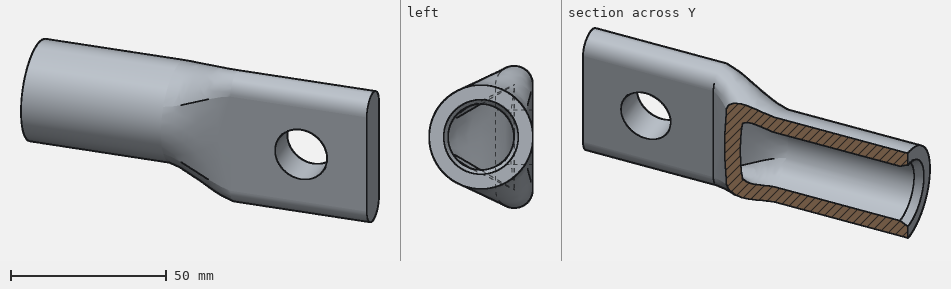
import cadquery as cq
import math

total_length = 117.5
barrel_length = 47.6
palm_start = 71.2
barrel_diameter = 33.4
bore_diameter = 21.1
bore_chamfer = 1.4
bore_chamfer_length = 2.8
palm_width = 45.7
palm_thickness = 12.1
bolt_hole_diameter = 17.6
bolt_hole_x = 95.2
seam_gap = 0.1
seam_half_angle = 30.0
end_slope = 0.5
blend_steps = 6

barrel_radius = barrel_diameter / 2
bore_radius = bore_diameter / 2
palm_center_y = palm_thickness / 2 - barrel_radius
flat_half_width = (palm_width - palm_thickness) / 2
transition_length = palm_start - barrel_length


def circle_points(radius):
    """Eight (y, z) points round a circle: arc ends alternating with arc middles."""
    angles = [-seam_half_angle, 0, seam_half_angle, 90]
    angles += [180 - seam_half_angle, 180, 180 + seam_half_angle, 270]
    return [
        (-radius * math.cos(math.radians(a)), radius * math.sin(math.radians(a)))
        for a in angles
    ]


def slot_points(thickness):
    """Matching (y, z) points round a full-round slot centred on the palm."""
    half = thickness / 2
    front = palm_center_y - half
    back = palm_center_y + half
    tip = flat_half_width + half
    return [
        (front, -flat_half_width),
        (front, 0),
        (front, flat_half_width),
        (palm_center_y, tip),
        (back, flat_half_width),
        (back, 0),
        (back, -flat_half_width),
        (palm_center_y, -tip),
    ]


def section_wire(x, points, flat_faces=False):
    """Close four edges through the points; the two palm faces can be straight."""
    vectors = [cq.Vector(x, y, z) for y, z in points]
    edges = []
    for i in range(0, len(vectors), 2):
        start = vectors[i]
        middle = vectors[i + 1]
        end = vectors[(i + 2) % len(vectors)]
        is_palm_face = i % 4 == 0
        if flat_faces and is_palm_face:
            edges.append(cq.Edge.makeLine(start, end))
        else:
            edges.append(cq.Edge.makeThreePointArc(start, middle, end))
    return cq.Wire.assembleEdges(edges)


def flattening(t):
    """Fraction flattened at fraction t of the transition, a gentle S-curve."""
    smooth = t * t * (3 - 2 * t)
    return end_slope * t + (1 - end_slope) * smooth


def flattened_tube(radius, thickness):
    """Solid that blends from a circle at the barrel to a slot at the palm."""
    round_end = circle_points(radius)
    flat_end = slot_points(thickness)
    wires = []
    for step in range(blend_steps + 1):
        t = step / blend_steps
        s = flattening(t)
        points = [
            (y0 + s * (y1 - y0), z0 + s * (z1 - z0))
            for (y0, z0), (y1, z1) in zip(round_end, flat_end)
        ]
        x = barrel_length + t * transition_length
        wires.append(section_wire(x, points, flat_faces=step == blend_steps))
    return cq.Workplane(obj=cq.Solid.makeLoft(wires))


barrel = cq.Workplane("YZ").circle(barrel_radius).extrude(barrel_length)
transition = flattened_tube(barrel_radius, palm_thickness)
palm = (
    cq.Workplane("YZ", origin=(palm_start, palm_center_y, 0))
    .slot2D(palm_width, palm_thickness, 90)
    .extrude(total_length - palm_start)
)
body = barrel.union(transition).union(palm)

bore = cq.Workplane("YZ").circle(bore_radius).extrude(barrel_length)
mouth = cq.Workplane(
    obj=cq.Solid.makeCone(
        bore_radius + bore_chamfer, bore_radius, bore_chamfer_length,
        pnt=cq.Vector(0, 0, 0), dir=cq.Vector(1, 0, 0),
    )
)
cavity = flattened_tube(bore_radius, seam_gap)

bolt_hole = (
    cq.Workplane("XZ", origin=(bolt_hole_x, 0, 0))
    .circle(bolt_hole_diameter / 2)
    .extrude(barrel_diameter, both=True)
)

result = body.cut(bore).cut(mouth).cut(cavity).cut(bolt_hole)